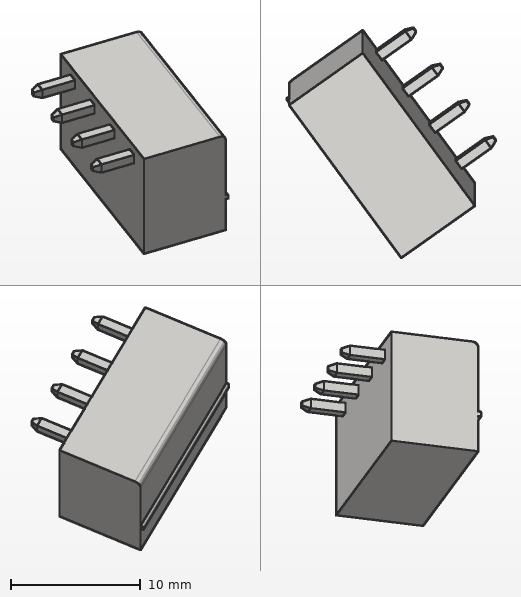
import cadquery as cq

width = 14.8
depth = 7.0
height = 9.2
top_edge_radius = 0.5

pin_count = 4
pin_pitch = 3.51
pin_length = 3.4
pin_side = 0.8
pin_tip_length = 0.6
pin_tip_side = 0.37
pin_drop = 1.2
pin_z = height - pin_drop

rib_projection = 0.24
rib_height = 0.4
rib_drop = 5.82
rib_edge_radius = 0.19
rib_top_z = height - rib_drop
rib_bottom_z = rib_top_z - rib_height


def make_housing():
    block = cq.Workplane("XY").box(width, depth, height, centered=(True, False, False))
    return block.edges(">Y and >Z").fillet(top_edge_radius)


def make_rib():
    bar = cq.Workplane("XY", origin=(0, depth, rib_bottom_z)).box(
        width, rib_projection, rib_height, centered=(True, False, False)
    )
    return bar.edges(">Y and >Z").fillet(rib_edge_radius)


def make_pin(pin_x):
    """Square pin whose tip tapers to a smaller square."""
    shank_length = pin_length - pin_tip_length
    shank = (
        cq.Workplane("XZ", origin=(pin_x, 0, pin_z))
        .rect(pin_side, pin_side)
        .extrude(shank_length)
    )
    tip = (
        cq.Workplane("XZ", origin=(pin_x, -shank_length, pin_z))
        .rect(pin_side, pin_side)
        .workplane(offset=pin_tip_length)
        .rect(pin_tip_side, pin_tip_side)
        .loft(ruled=True)
    )
    return shank.union(tip)


result = make_housing().union(make_rib())
for pin_index in range(pin_count):
    pin_x = (pin_index - (pin_count - 1) / 2) * pin_pitch
    result = result.union(make_pin(pin_x))